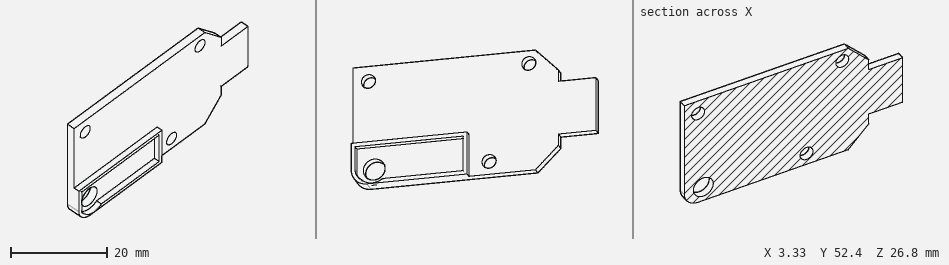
import cadquery as cq

plate_thickness = 1.95
plate_height = 26.75
overall_length = 52.38
shoulder_y = 44.3
shoulder_chamfer = 4.95
tab_height = 11.8
corner_radius = 3.4

overall_thickness = 3.33
rim_length = 25.0
rim_height = 9.4
rim_wall = 0.85

small_hole_diameter = 3.0
small_hole_centres = [(37.9, 23.9), (3.35, 23.4), (29.35, 2.9)]
large_hole_diameter = 4.65
large_hole_centre = (4.6, 3.6)
counterbore_diameter = 7.0


def block(thickness, y_start, y_end, z_start, z_end):
    """Box standing on the X = 0 plane between the given Y and Z limits."""
    size = (thickness, y_end - y_start, z_end - z_start)
    return cq.Workplane("XY").box(*size, centered=False).translate((0, y_start, z_start))


def make_plate():
    """Body with two chamfered rear corners, plus the centred rear tab."""
    body = block(plate_thickness, 0, shoulder_y, 0, plate_height)
    body = body.edges("|X and >Y").chamfer(shoulder_chamfer)
    tab_bottom = (plate_height - tab_height) / 2
    tab = block(plate_thickness, shoulder_y, overall_length, tab_bottom, tab_bottom + tab_height)
    return body.union(tab)


def make_rim_block():
    """Solid block of the rim's outer size, flush with the plate's front and lower edges."""
    return block(overall_thickness, 0, rim_length, 0, rim_height)


def round_front_corner(solid):
    """Round the front lower corner through the plate and the rim together."""
    return solid.edges("|X and <Y and <Z").fillet(corner_radius)


def make_pocket():
    """Space inside the rim, leaving an even wall that follows the rounded corner."""
    pocket = block(overall_thickness, rim_wall, rim_length - rim_wall, rim_wall, rim_height - rim_wall)
    pocket = pocket.edges("|X and <Y and <Z").fillet(corner_radius - rim_wall)
    return pocket.translate((plate_thickness, 0, 0))


def cylinders(centres, diameter, x_start=0):
    """Cylinders along X from x_start out through the +X side."""
    plane = cq.Workplane("YZ", origin=(x_start, 0, 0))
    return plane.pushPoints(centres).circle(diameter / 2).extrude(overall_thickness)


result = round_front_corner(make_plate().union(make_rim_block()))
result = result.cut(make_pocket())
result = result.cut(cylinders([large_hole_centre], counterbore_diameter, plate_thickness))
result = result.cut(cylinders([large_hole_centre], large_hole_diameter))
result = result.cut(cylinders(small_hole_centres, small_hole_diameter))